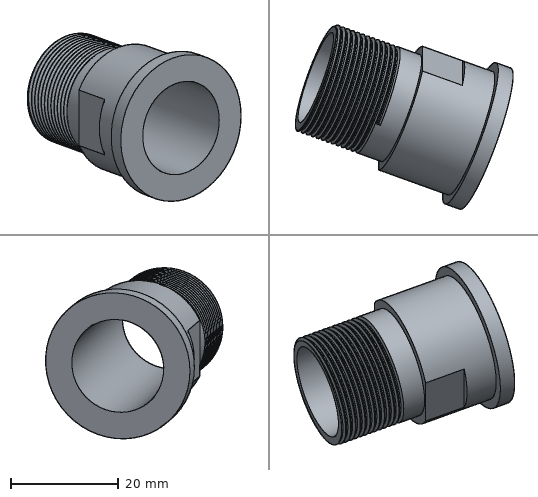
import cadquery as cq
import math

total_length = 34.0
shoulder_x = 17.0
flat_length = 8.0
flange_thickness = 3.0

bore_radius = 8.9
neck_radius = 10.6
body_radius = 12.25
flange_radius = 14.0
across_flats = 22.0

pitch = 1.0
thread_turns = 13
half_angle = math.radians(30)
crest_width = pitch / 8
root_width = pitch / 4
thread_depth = (pitch - crest_width - root_width) / 2 / math.tan(half_angle)
thread_start_x = -pitch / 2
cutter_overshoot = 0.05


def cylinder(start_x, length, radius):
    """Solid cylinder along X."""
    return cq.Workplane("YZ", origin=(start_x, 0, 0)).circle(radius).extrude(length)


def wrench_flat_cutter(side):
    """Block outside one wrench flat; side is +1 or -1 along Y."""
    depth = body_radius - across_flats / 2
    center_y = side * (across_flats / 2 + depth / 2)
    center_x = shoulder_x + flat_length / 2
    return cq.Workplane("XY", origin=(center_x, center_y, 0)).box(flat_length, depth, 2 * body_radius)


def thread_groove():
    """Helical groove along X, starting and ending at the lowest line of the neck."""
    root_radius = neck_radius - thread_depth
    outer_radius = neck_radius + cutter_overshoot
    half_root = root_width / 2
    half_mouth = half_root + (outer_radius - root_radius) * math.tan(half_angle)
    helix = cq.Wire.makeHelix(pitch, thread_turns * pitch, root_radius)
    groove = (
        cq.Workplane("XZ")
        .polyline([
            (root_radius, -half_root),
            (outer_radius, -half_mouth),
            (outer_radius, half_mouth),
            (root_radius, half_root),
        ])
        .close()
        .sweep(cq.Workplane(obj=helix), isFrenet=True)
    )
    return groove.rotate((0, 0, 0), (0, 1, 0), 90).translate((thread_start_x, 0, 0))


neck = cylinder(0, shoulder_x, neck_radius)
body = cylinder(shoulder_x, total_length - shoulder_x, body_radius)
flange = cylinder(total_length - flange_thickness, flange_thickness, flange_radius)

for side in (-1, 1):
    body = body.cut(wrench_flat_cutter(side))

neck = neck.cut(thread_groove())

result = neck.union(body).union(flange).cut(cylinder(0, total_length, bore_radius))